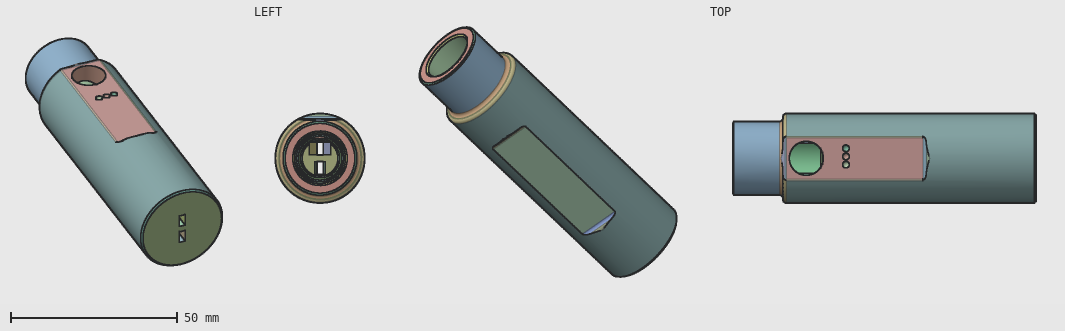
import cadquery as cq
import math

length = 91.2
body_radius = 13.5
nose_radius = 11.1
shoulder_x = 15.05
shoulder_radius = 1.0
neck_radius = 1.1
nose_chamfer_length = 0.3
nose_chamfer_depth = 0.6
rear_chamfer = 0.55

flat_height = 11.9
top_flat_end = 57.2
bottom_flat_start = 28.9
bottom_flat_end = 70.1
end_wall_radius = 1.0
flat_side_radius = 1.0

mouth_radius = 8.2
mouth_chamfer = 0.55
mouth_depth = 13.9
mouth_end_radius = 7.1
bore_radius = 6.6
bore_depth = 26.45
bore_end_chamfer = 0.6
bore_floor_radius = 5.4
bore_floor_depth = 28.3

cross_hole_x = 22.1
cross_hole_radius = 5.1
cross_hole_floor = -4.7
dimple_x = 34.0
dimple_center_y = 0.55
dimple_radius = 1.0
dimple_spacing = 2.5
dimple_count = 3

slot_width = 1.8
slot_height = 3.8
slot_offset = 2.9
flare_depth = 4.6
upper_flare_width = 6.6
lower_flare_width = 3.3

neck_start = shoulder_x - neck_radius
neck_top = nose_radius + neck_radius
shoulder_round_end = shoulder_x + shoulder_radius
cutter_clearance = 0.9
cutter_top = body_radius + cutter_clearance


def revolve_about_x(profile):
    """Turn a closed profile in the XY plane about the X axis."""
    return profile.close().revolve(360, (0, 0, 0), (1, 0, 0))


def turned_body():
    """Nose and body with a filleted neck, a rounded shoulder and chamfered ends."""
    return revolve_about_x(
        cq.Workplane("XY")
        .moveTo(0, 0)
        .lineTo(0, nose_radius - nose_chamfer_depth)
        .lineTo(nose_chamfer_length, nose_radius)
        .lineTo(neck_start, nose_radius)
        .radiusArc((shoulder_x, neck_top), -neck_radius)
        .lineTo(shoulder_x, body_radius - shoulder_radius)
        .radiusArc((shoulder_round_end, body_radius), shoulder_radius)
        .lineTo(length - rear_chamfer, body_radius)
        .lineTo(length, body_radius - rear_chamfer)
        .lineTo(length, 0)
    )


def add_end_wall(profile, flat_end):
    """End a flat's profile in an S-shaped wall: concave root, then an equal convex lip."""
    rise = body_radius - flat_height
    run = math.sqrt((2 * end_wall_radius) ** 2 - (2 * end_wall_radius - rise) ** 2)
    return (
        profile.lineTo(flat_end, flat_height)
        .radiusArc((flat_end + run / 2, flat_height + rise / 2), -end_wall_radius)
        .radiusArc((flat_end + run, body_radius), end_wall_radius)
        .lineTo(flat_end + run, cutter_top)
    )


def extrude_across(profile):
    """Extrude a closed profile in the XZ plane symmetrically across the body."""
    return profile.close().extrude(body_radius, both=True)


def top_flat_cutter():
    """Removes the top flat, which rolls over the shoulder into the neck fillet."""
    round_center = (shoulder_round_end, flat_height - shoulder_radius)
    neck_center = (neck_start, neck_top)
    run = neck_center[0] - round_center[0]
    rise = neck_center[1] - round_center[1]
    opening = math.acos((shoulder_radius + neck_radius) / math.hypot(run, rise))
    normal = math.atan2(rise, run) - opening
    neck_touch = (
        neck_center[0] - neck_radius * math.cos(normal),
        neck_center[1] - neck_radius * math.sin(normal),
    )
    round_touch = (
        round_center[0] + shoulder_radius * math.cos(normal),
        round_center[1] + shoulder_radius * math.sin(normal),
    )
    profile = (
        cq.Workplane("XZ")
        .moveTo(neck_touch[0], cutter_top)
        .lineTo(*neck_touch)
        .lineTo(*round_touch)
        .radiusArc((shoulder_round_end, flat_height), shoulder_radius)
    )
    return extrude_across(add_end_wall(profile, top_flat_end))


def bottom_flat_cutter():
    """Removes the bottom flat, which has the same end wall at both ends."""
    middle = (bottom_flat_start + bottom_flat_end) / 2
    half_profile = cq.Workplane("XZ").moveTo(middle, cutter_top).lineTo(middle, flat_height)
    rear_half = extrude_across(add_end_wall(half_profile, bottom_flat_end))
    half = rear_half.union(rear_half.mirror("YZ", (middle, 0, 0)))
    return half.mirror("XY")


def flat_side_rounder():
    """Rounds the two long edges between the top flat and the body."""
    center_y = math.sqrt((body_radius - flat_side_radius) ** 2 - (flat_height - flat_side_radius) ** 2)
    center_z = flat_height - flat_side_radius
    stretch = body_radius / (body_radius - flat_side_radius)
    body_touch = (center_y * stretch, center_z * stretch)
    one_side = (
        cq.Workplane("YZ", origin=(shoulder_x, 0, 0))
        .moveTo(center_y, flat_height)
        .radiusArc(body_touch, flat_side_radius)
        .lineTo(body_touch[0], cutter_top)
        .lineTo(center_y, cutter_top)
        .close()
        .extrude(top_flat_end - shoulder_x)
    )
    return one_side.union(one_side.mirror("XZ"))


def stepped_bore():
    """Bore with a chamfered, tapered mouth and a chamfered, tapered end."""
    return revolve_about_x(
        cq.Workplane("XY")
        .moveTo(0, 0)
        .lineTo(0, mouth_radius)
        .lineTo(mouth_chamfer, mouth_radius - mouth_chamfer)
        .lineTo(mouth_depth, mouth_end_radius)
        .lineTo(mouth_depth, bore_radius)
        .lineTo(bore_depth, bore_radius)
        .lineTo(bore_depth + bore_end_chamfer, bore_radius - bore_end_chamfer)
        .lineTo(bore_floor_depth, bore_floor_radius)
        .lineTo(bore_floor_depth, 0)
    )


def cross_hole():
    """Hole from the top flat, through the upper wall and down into the bore's lower wall."""
    return (
        cq.Workplane("XY", origin=(cross_hole_x, 0, cross_hole_floor))
        .circle(cross_hole_radius)
        .extrude(cutter_top - cross_hole_floor)
    )


def dimples():
    """Row of hemispherical dimples across the top flat."""
    first_y = dimple_center_y - dimple_spacing * (dimple_count - 1) / 2
    places = [(0, first_y + i * dimple_spacing) for i in range(dimple_count)]
    ball = cq.Workplane("XY").sphere(dimple_radius).val()
    return (
        cq.Workplane("XY", origin=(dimple_x, 0, flat_height))
        .pushPoints(places)
        .eachpoint(lambda place: ball.moved(place), combine=False)
    )


def flared_slot(center_z, flare_width):
    """Slot through to the rear end, narrowing from flare_width behind the bore floor."""
    flare_end = bore_floor_depth + flare_depth
    half_slot = slot_width / 2
    half_flare = flare_width / 2
    outline = [
        (bore_depth, -half_flare),
        (bore_floor_depth, -half_flare),
        (flare_end, -half_slot),
        (length, -half_slot),
        (length, half_slot),
        (flare_end, half_slot),
        (bore_floor_depth, half_flare),
        (bore_depth, half_flare),
    ]
    return (
        cq.Workplane("XY", origin=(0, 0, center_z))
        .polyline(outline)
        .close()
        .extrude(slot_height / 2, both=True)
    )


result = turned_body().cut(top_flat_cutter()).cut(bottom_flat_cutter())
result = result.cut(flat_side_rounder())
result = result.cut(stepped_bore())
result = result.cut(cross_hole())
result = result.cut(dimples())
result = result.cut(flared_slot(slot_offset, upper_flare_width))
result = result.cut(flared_slot(-slot_offset, lower_flare_width))